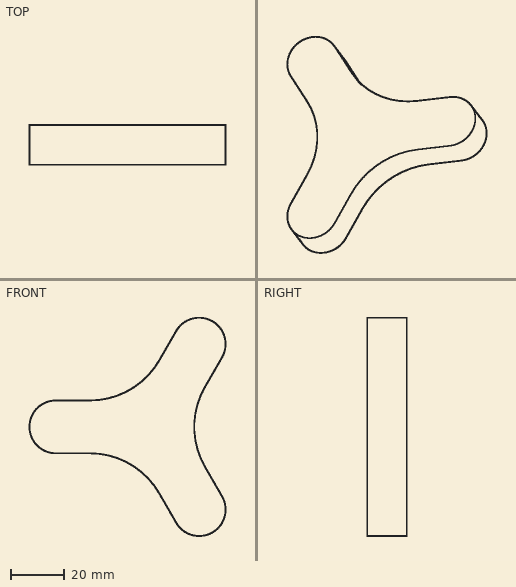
import cadquery as cq
import math

ARM_COUNT = 3
ARM_REACH = 36.0
ARM_END_RADIUS = 10.0
HUB_BLEND_RADIUS = 30.0
THICKNESS = 15.0
FIRST_ARM_ANGLE = 180.0

ARM_PITCH = 360.0 / ARM_COUNT
HALF_PITCH = math.radians(ARM_PITCH / 2)
BLEND_OFFSET = ARM_END_RADIUS + HUB_BLEND_RADIUS
BLEND_START = BLEND_OFFSET / math.tan(HALF_PITCH)
BLEND_MIDDLE = BLEND_OFFSET / math.sin(HALF_PITCH) - HUB_BLEND_RADIUS


def arm_point(arm_angle, along, across):
    """Point given along and across an arm, turned to that arm's direction."""
    angle = math.radians(arm_angle)
    x = along * math.cos(angle) - across * math.sin(angle)
    z = along * math.sin(angle) + across * math.cos(angle)
    return (x, z)


def make_body():
    """Three-armed plate, centred on the Y axis, with its front face at Y = 0."""
    outline = cq.Workplane("XZ").moveTo(*arm_point(FIRST_ARM_ANGLE, BLEND_START, -ARM_END_RADIUS))
    for index in range(ARM_COUNT):
        arm = FIRST_ARM_ANGLE + index * ARM_PITCH
        next_arm = arm + ARM_PITCH
        between = arm + ARM_PITCH / 2
        outline = (
            outline
            .lineTo(*arm_point(arm, ARM_REACH, -ARM_END_RADIUS))
            .threePointArc(
                arm_point(arm, ARM_REACH + ARM_END_RADIUS, 0),
                arm_point(arm, ARM_REACH, ARM_END_RADIUS),
            )
            .lineTo(*arm_point(arm, BLEND_START, ARM_END_RADIUS))
            .threePointArc(
                arm_point(between, BLEND_MIDDLE, 0),
                arm_point(next_arm, BLEND_START, -ARM_END_RADIUS),
            )
        )
    return outline.close().extrude(-THICKNESS)


result = make_body()